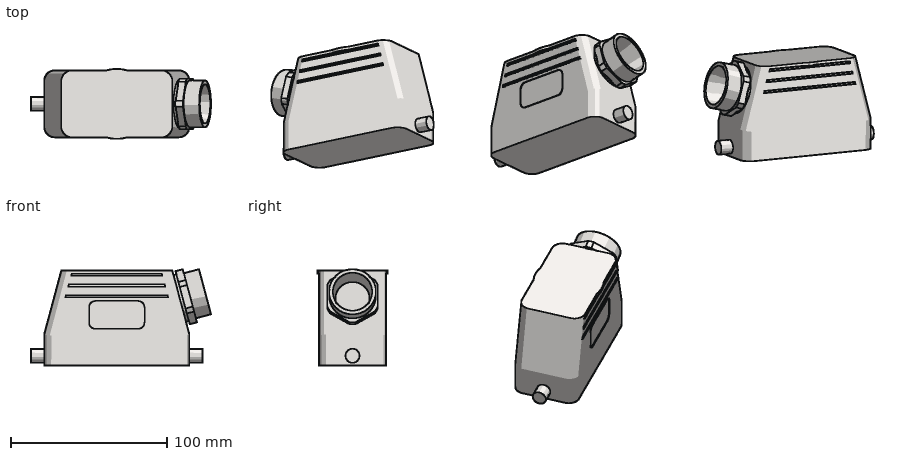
import cadquery as cq
import math

BODY_LENGTH = 93.0
BODY_DEPTH = 43.0
BODY_HEIGHT = 61.0
SKIRT_HEIGHT = 20.0
WALL_LEAN = 15.0
CORNER_RADIUS = 7.0

PIN_DIAMETER = 9.0
PIN_SPAN = 109.9
PIN_HEIGHT = 6.3

GROOVE_COUNT = 3
GROOVE_WIDTH = 1.4
GROOVE_PITCH = 6.9
GROOVE_DEPTH = 1.0
TOP_BAND = 2.1

BUMP_DISC_DIAMETER = 45.0

PANEL_LENGTH = 35.5
PANEL_HEIGHT = 17.8
PANEL_RADIUS = 4.0
PANEL_DEPTH = 0.5
PANEL_CENTRE_HEIGHT = 32.5

GLAND_HEIGHT = 43.0
COLLAR_DIAMETER = 31.0
COLLAR_LENGTH = 1.8
NUT_SIDES = 6
NUT_ACROSS_FLATS = 32.3
NUT_CORNER_DIAMETER = 35.3
NUT_LENGTH = 4.8
TUBE_DIAMETER = 30.0
TUBE_LENGTH = 10.0
BORE_MOUTH_DIAMETER = 25.1
BORE_END_DIAMETER = 21.8
ROOT_DEPTH = 3.5

lean = math.radians(WALL_LEAN)
half_length = BODY_LENGTH / 2
half_depth = BODY_DEPTH / 2


def wall_x(height):
    """Half length of the body at a height above the skirt."""
    return half_length - (height - SKIRT_HEIGHT) * math.tan(lean)


def make_body():
    outline = [
        (-half_length, 0),
        (half_length, 0),
        (half_length, SKIRT_HEIGHT),
        (wall_x(BODY_HEIGHT), BODY_HEIGHT),
        (-wall_x(BODY_HEIGHT), BODY_HEIGHT),
        (-half_length, SKIRT_HEIGHT),
    ]
    block = cq.Workplane("XZ").polyline(outline).close().extrude(half_depth, both=True)
    end_wall_edges = block.edges("not(|X or |Y)")
    return end_wall_edges.fillet(CORNER_RADIUS)


def make_pins():
    return (
        cq.Workplane("YZ")
        .center(0, PIN_HEIGHT)
        .circle(PIN_DIAMETER / 2)
        .extrude(PIN_SPAN / 2, both=True)
    )


def make_groove(index, side):
    """Groove that stops at the tangent lines of the rounded corners."""
    top = BODY_HEIGHT - TOP_BAND - index * GROOVE_PITCH
    bottom = top - GROOVE_WIDTH
    corner_width = CORNER_RADIUS / math.cos(lean)
    top_x = wall_x(top) - corner_width
    bottom_x = wall_x(bottom) - corner_width
    outline = [(-bottom_x, bottom), (bottom_x, bottom), (top_x, top), (-top_x, top)]
    return (
        cq.Workplane("XZ", origin=(0, side * half_depth, 0))
        .polyline(outline)
        .close()
        .extrude(GROOVE_DEPTH, both=True)
    )


def make_bumps():
    """Disc in the top band that bulges past both long sides."""
    return (
        cq.Workplane("XY", origin=(0, 0, BODY_HEIGHT - TOP_BAND))
        .circle(BUMP_DISC_DIAMETER / 2)
        .extrude(TOP_BAND)
    )


def make_panel():
    return (
        cq.Workplane("XZ", origin=(0, -half_depth, PANEL_CENTRE_HEIGHT))
        .rect(PANEL_LENGTH, PANEL_HEIGHT)
        .extrude(PANEL_DEPTH, both=True)
        .edges("|Y")
        .fillet(PANEL_RADIUS)
    )


def gland_plane(distance):
    """Plane across the gland axis, at a distance out from the end wall."""
    x = wall_x(GLAND_HEIGHT) + distance * math.cos(lean)
    z = GLAND_HEIGHT + distance * math.sin(lean)
    axis = (math.cos(lean), 0, math.sin(lean))
    return cq.Workplane(cq.Plane(origin=(x, 0, z), xDir=(0, 1, 0), normal=axis))


def make_gland():
    """Collar, hexagon nut and tube, with a tapered blind bore from the tube's mouth."""
    nut_end = COLLAR_LENGTH + NUT_LENGTH
    tube_end = nut_end + TUBE_LENGTH
    collar = gland_plane(-ROOT_DEPTH).circle(COLLAR_DIAMETER / 2).extrude(ROOT_DEPTH + COLLAR_LENGTH)
    hexagon = (
        gland_plane(COLLAR_LENGTH)
        .polygon(NUT_SIDES, NUT_ACROSS_FLATS, circumscribed=True)
        .extrude(NUT_LENGTH)
    )
    turned = gland_plane(COLLAR_LENGTH).circle(NUT_CORNER_DIAMETER / 2).extrude(NUT_LENGTH)
    tube = gland_plane(nut_end).circle(TUBE_DIAMETER / 2).extrude(TUBE_LENGTH)
    bore = (
        gland_plane(0)
        .circle(BORE_END_DIAMETER / 2)
        .workplane(offset=tube_end)
        .circle(BORE_MOUTH_DIAMETER / 2)
        .loft(ruled=True)
    )
    return collar.union(hexagon.intersect(turned)).union(tube).cut(bore)


result = make_body().cut(make_panel())
for index in range(GROOVE_COUNT):
    for side in (-1, 1):
        result = result.cut(make_groove(index, side))

result = result.union(make_bumps())
result = result.union(make_pins())

result = result.union(make_gland())